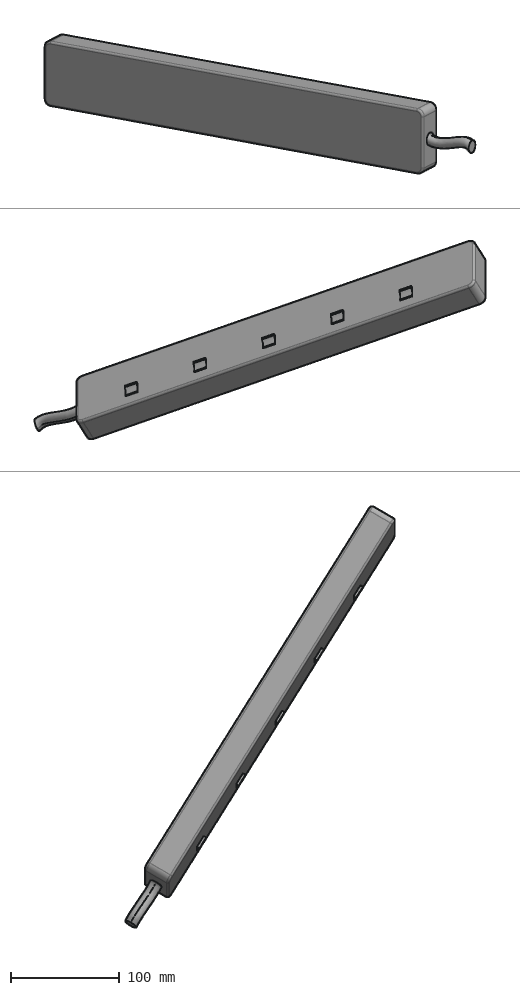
import cadquery as cq

overall_length = 451.0
housing_length = 406.0
housing_depth = 26.0
housing_height = 63.0
corner_radius = 6.8
rim_fillet = 2.15

switch_count = 5
first_switch_x = 69.0
switch_pitch = 70.0
switch_width = 12.0
switch_bottom_z = 12.5
switch_top_z = 24.5
switch_high_end = 2.5
switch_low_end = 1.5
switch_valley = 0.68
switch_lip = 2.3
switch_root = 2.3

cable_diameter = 12.0
cable_length = overall_length - housing_length
cable_y = housing_depth / 2
cable_z = housing_height / 2
cable_dip = 2.3
cable_rise = 2.3
cable_dip_position = 0.23
cable_rise_position = 0.72
cable_end_slope = 0.75


def make_housing_body():
    """Long box with rounded corners and rounded front and back rims."""
    return (
        cq.Workplane("XY")
        .box(housing_length, housing_depth, housing_height, centered=False)
        .edges("|Y")
        .fillet(corner_radius)
        .faces("<Y or >Y")
        .fillet(rim_fillet)
    )


def make_switch(center_x):
    """Rocker with a dished face, standing on the back face of the housing."""
    root_y = housing_depth - switch_root
    high_y = housing_depth + switch_high_end
    low_y = housing_depth + switch_low_end
    valley_y = housing_depth + switch_valley
    lip_z = switch_top_z - switch_lip
    valley_z = (switch_bottom_z + lip_z) / 2
    return (
        cq.Workplane("YZ", origin=(center_x - switch_width / 2, 0, 0))
        .moveTo(root_y, switch_bottom_z)
        .lineTo(low_y, switch_bottom_z)
        .threePointArc((valley_y, valley_z), (high_y, lip_z))
        .lineTo(high_y, switch_top_z)
        .lineTo(root_y, switch_top_z)
        .close()
        .extrude(switch_width)
    )


def make_housing():
    """Housing with its row of rocker switches."""
    body = make_housing_body()
    for index in range(switch_count):
        body = body.union(make_switch(first_switch_x + index * switch_pitch))
    return body.solids()


def make_cable():
    """Wavy cable whose round end faces are both square to X."""
    path_points = [
        (0, 0),
        (cable_dip_position * cable_length, -cable_dip),
        (cable_rise_position * cable_length, cable_rise),
        (cable_length, 0),
    ]
    end_tangent = (1, -cable_end_slope)
    start = (housing_length, cable_y, cable_z)
    path = cq.Workplane("XZ", origin=start).spline(path_points, tangents=[end_tangent, end_tangent])
    radius = cable_diameter / 2
    section = (
        cq.Workplane("YZ", origin=start)
        .moveTo(0, radius)
        .threePointArc((radius, 0), (0, -radius))
        .threePointArc((-radius, 0), (0, radius))
        .close()
    )
    return section.sweep(path)


housing = make_housing()
cable = make_cable()

result = cq.Compound.makeCompound([housing.val(), cable.val()])